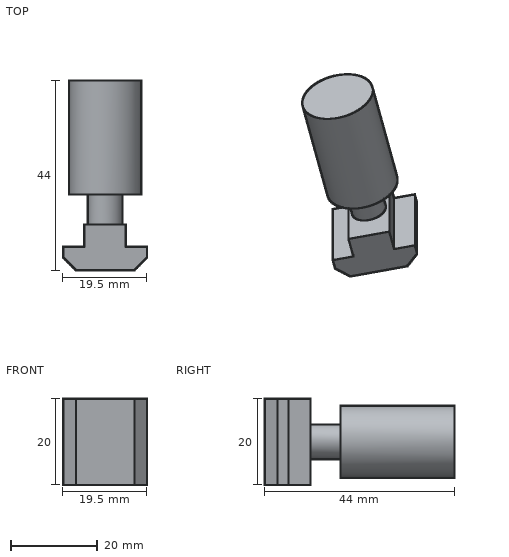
import cadquery as cq

total_length = 44.0
head_width = 19.5
head_height = 20.0
head_chamfer = 3.0
flange_side_length = 2.5
stem_width = 9.7
stem_length = 5.15
neck_diameter = 8.1
neck_length = 6.9
body_diameter = 16.8

flange_back = head_chamfer + flange_side_length
head_back = flange_back + stem_length
body_front = head_back + neck_length
body_length = total_length - body_front


def make_head():
    """T-shaped block with chamfered front edges, extruded along Z."""
    half_width = head_width / 2
    half_stem = stem_width / 2
    half_front = half_width - head_chamfer
    outline = [
        (half_front, 0),
        (half_width, head_chamfer),
        (half_width, flange_back),
        (half_stem, flange_back),
        (half_stem, head_back),
        (-half_stem, head_back),
        (-half_stem, flange_back),
        (-half_width, flange_back),
        (-half_width, head_chamfer),
        (-half_front, 0),
    ]
    return cq.Workplane("XY").polyline(outline).close().extrude(head_height / 2, both=True)


def make_cylinder(diameter, start, length):
    """Round bar along +Y from the given start position."""
    return cq.Workplane("XZ", origin=(0, start, 0)).circle(diameter / 2).extrude(-length)


head = make_head()
neck = make_cylinder(neck_diameter, head_back, neck_length)
body = make_cylinder(body_diameter, body_front, body_length)

result = head.union(neck).union(body)